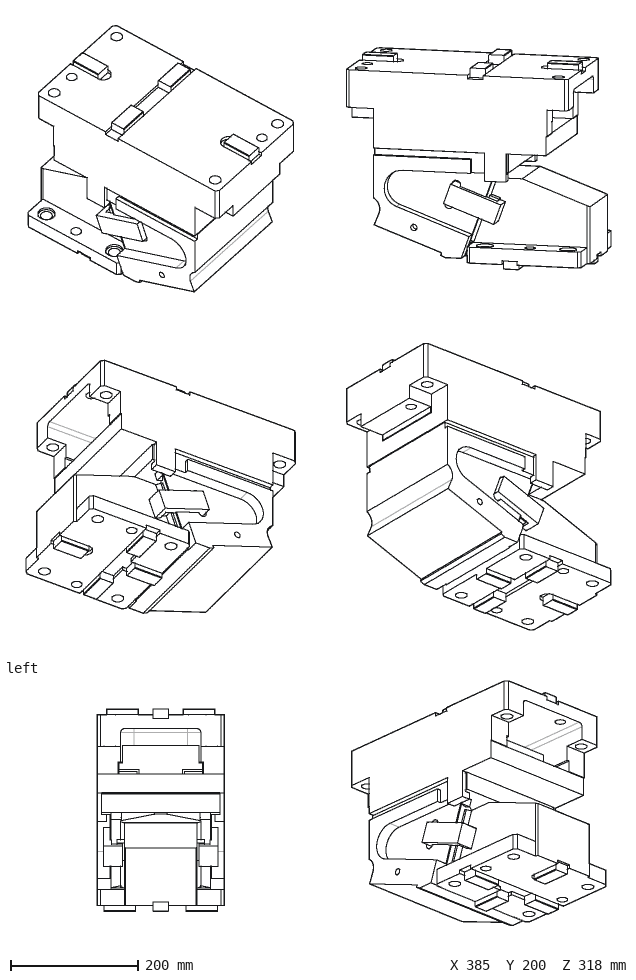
import cadquery as cq
import math

TOTAL_LENGTH = 385.0
TOTAL_HEIGHT = 318.0
HALF_WIDTH = 100.0
CORNER_CHAMFER = 5.0

KEY_WIDTH = 25.0
KEY_LENGTH = 50.0
KEY_PROUD = 9.0
KEY_SEAT_DEPTH = 6.0
KEY_CHAMFER = 1.0

BOLT_HOLE_DIAMETER = 18.5
DOWEL_HOLE_DIAMETER = 16.5
BOLT_HALF_PITCH = 80.0

INCLINE = 20.0
VEE_ANGLE = 30.0
VEE_FLAT_HALF_WIDTH = 10.0
VEE_HALF_WIDTH = 80.0
VEE_START = 190.0
VEE_CLEARANCE = 1.0

BASE_LEFT = 25.0
BASE_TOP = TOTAL_HEIGHT - KEY_PROUD
LEFT_FLANGE_BOTTOM = BASE_TOP - 50.0
RIGHT_FLANGE_BOTTOM = BASE_TOP - 60.0
BASE_BODY_LEFT = 59.0
BASE_BODY_RIGHT = 340.0
BASE_BODY_BOTTOM = 186.0
SILL_TOP = 216.0
SILL_SETBACK = 1.5
STOP_HALF_WIDTH = 60.0
STOP_BOTTOM = 226.0
STOP_FOOT = 1.5

LEG_LEFT = 125.5
LEG_WIDTH = 34.7
LEG_BOTTOM = 141.0
LEG_LIP_TOP = 152.0
LEG_LIP_INNER = 85.5

BASE_KEY_INSET = 5.0
BASE_SEAT_LENGTH = 68.0
BASE_CROSS_KEY_X = 175.0
BASE_CROSS_KEY_INNER = 35.0
BASE_BOLT_INSET = 20.0
BASE_DOWEL_LEFT_Y = -35.0
BASE_DOWEL_RIGHT_Y = 40.0

WINDOW_HALF_WIDTH = 63.0
WINDOW_TOP = 287.0
WINDOW_FOOT_HALF_WIDTH = 67.0
WINDOW_FOOT_TOP = 234.5
WINDOW_END = 180.0
WINDOW_CORNER_RADIUS = 21.0
WINDOW_ROOF_RADIUS = 6.0
CORE_LEFT = 110.0
CORE_HALF_WIDTH = 60.0
CORE_TOP = 260.5
CORE_FOOT_GAP = 1.5
CORE_RECESS_INNER = 34.0
CORE_RECESS_HEIGHT = 6.5
CORE_RECESS_STEP = 3.0

PLATE_LEFT = 122.5
PLATE_HALF_WIDTH = 93.0
PLATE_BOTTOM = 155.0
PLATE_TOP = 184.5
RAIL_LEFT = 183.0
RAIL_TOP = 174.5
SIDE_POCKET_TOP = 152.5
SIDE_POCKET_FLOOR = 80.0
SIDE_POCKET_RADIUS = 30.0
SIDE_POCKET_ARC_X = 292.5
SLIDER_SIDE_SETBACK = 1.5
SLIDER_BOTTOM_Z = 16.0
SLIDER_HEEL_X = 223.6
SLIDER_HEEL_ACROSS = -60.7
SLIDER_STEP_ALONG = 224.0
SLIDER_UNDERSIDE_ACROSS = -56.5
SLIDER_NOSE_ALONG = 340.2
NOTCH_RADIUS = 20.0
NOTCH_CENTRE_X = 350.0
NOTCH_CENTRE_Z = 89.0
NARROW_VEE_HALF_WIDTH = 62.0
WIDE_VEE_TOP = 84.0
SIDE_HOLE_DIAMETER = 10.0
SIDE_HOLE_DEPTH = 15.0
DRILL_POINT_ANGLE = 118.0
SIDE_HOLE_X = 274.6
SIDE_HOLE_Z = 62.0

HOOK_START = 163.0
HOOK_END = 249.6
HOOK_BOTTOM = 16.0
HOOK_TOP = 49.6
HOOK_INNER = 60.0
HOOK_OUTER = 90.0
HOOK_SLOT_START = 172.8
HOOK_SLOT_OUTER = 77.0
HOOK_RELIEF_RADIUS = 7.0
LUG_OUTER = 68.5
LUG_BOTTOM = 22.0
LUG_TOP = 51.5
LUG_END = 188.5

FLANGE_LEFT = 4.5
FLANGE_RIGHT = 189.5
FLANGE_BOTTOM = KEY_PROUD
FLANGE_TOP = 34.5
DRIVER_HALF_WIDTH = 57.0
DRIVER_FRONT_HEIGHT = 99.6
DRIVER_TOP = 139.5
DRIVER_EDGE_SETBACK = 1.5
RIDGE_HALF_WIDTH = 63.0
RIDGE_TOP = 79.0
RIDGE_BOTTOM = -30.0
RIDGE_FLARE_START = 189.0
DRIVER_BOLT_INSET = 25.0
COUNTERBORE_DIAMETER = 27.0
COUNTERBORE_DEPTH = 4.0
DRIVER_DOWEL_X = 90.5
DRIVER_DOWEL_Y = 82.5
DRIVER_CROSS_KEY_X = 119.5
DRIVER_CROSS_KEY_INNER = 39.5
DRIVER_SEAT_LENGTH = 67.0

COS = math.cos(math.radians(INCLINE))
SIN = math.sin(math.radians(INCLINE))


def box(x0, x1, y0, y1, z0, z1):
    """Box between two corners."""
    return cq.Workplane("XY").box(x1 - x0, y1 - y0, z1 - z0, centered=False).translate((x0, y0, z0))


def both_sides(shape):
    """The shape together with its mirror image across the middle plane."""
    return shape.union(shape.mirror("XZ"))


def side_profile(start_y):
    """Workplane for an XZ outline at start_y; it extrudes toward -Y."""
    return cq.Workplane("XZ", origin=(0, start_y, 0))


def incline_xz(along, across):
    """X and Z of a point given in the inclined directions."""
    return along * COS - across * SIN, along * SIN + across * COS


def on_incline(shape):
    """Turn a shape built along X and Z onto the incline."""
    return shape.rotate((0, 0, 0), (0, 1, 0), -INCLINE)


def vee_prism(half_width, start, back, bottom, top):
    """Inclined prism with a vee nose that begins at `start` when it is VEE_HALF_WIDTH wide."""
    slope = math.tan(math.radians(VEE_ANGLE))
    edge = start + (VEE_HALF_WIDTH - half_width) * slope
    tip = start + (VEE_HALF_WIDTH - VEE_FLAT_HALF_WIDTH) * slope
    outline = [
        (back, -half_width),
        (edge, -half_width),
        (tip, -VEE_FLAT_HALF_WIDTH),
        (tip, VEE_FLAT_HALF_WIDTH),
        (edge, half_width),
        (back, half_width),
    ]
    prism = cq.Workplane("XY", origin=(0, 0, bottom)).polyline(outline).close().extrude(top - bottom)
    return on_incline(prism)


def key(x0, x1, y0, y1, mount_z, outward):
    """Locating key standing proud of a mounting face; outward is +1 up or -1 down."""
    seat_z = mount_z - outward * KEY_SEAT_DEPTH
    end_z = mount_z + outward * KEY_PROUD
    block = box(x0, x1, y0, y1, min(seat_z, end_z), max(seat_z, end_z))
    outer_face = block.faces(">Z" if outward > 0 else "<Z")
    long_edges = outer_face.edges("|X" if x1 - x0 > y1 - y0 else "|Y")
    return long_edges.chamfer(KEY_CHAMFER)


def long_key_seat(open_end, round_end, mount_z, outward):
    """Lengthwise key seat, open at one end and round at the other."""
    radius = KEY_WIDTH / 2
    inward = radius if round_end < open_end else -radius
    centre = round_end + inward
    seat_z = mount_z - outward * KEY_SEAT_DEPTH
    low, high = min(seat_z, mount_z), max(seat_z, mount_z)
    straight = box(min(open_end, centre), max(open_end, centre), -radius, radius, low, high)
    rounded = cq.Workplane("XY", origin=(centre, 0, low)).circle(radius).extrude(high - low)
    return straight.union(rounded)


def cross_key_seat(centre_x, mount_z, outward):
    """Crosswise key seat over the full width."""
    seat_z = mount_z - outward * KEY_SEAT_DEPTH
    low, high = min(seat_z, mount_z), max(seat_z, mount_z)
    return box(centre_x - KEY_WIDTH / 2, centre_x + KEY_WIDTH / 2, -HALF_WIDTH, HALF_WIDTH, low, high)


def add_keys(body, mount_z, outward, long_keys, seats, cross_x, cross_inner):
    """Cut the key seats of a mounting face and set the four keys into them."""
    for open_end, round_end in seats:
        body = body.cut(long_key_seat(open_end, round_end, mount_z, outward))
    body = body.cut(cross_key_seat(cross_x, mount_z, outward))
    half = KEY_WIDTH / 2
    for start in long_keys:
        body = body.union(key(start, start + KEY_LENGTH, -half, half, mount_z, outward))
    cross = key(cross_x - half, cross_x + half, cross_inner, cross_inner + KEY_LENGTH, mount_z, outward)
    return body.union(both_sides(cross))


def vertical_hole(x, y, diameter, z0, z1):
    return cq.Workplane("XY", origin=(x, y, z0)).circle(diameter / 2).extrude(z1 - z0)


def base_blank():
    """Mounting plate with two end flanges over the guide block."""
    left_part = box(BASE_LEFT, BASE_CROSS_KEY_X, -HALF_WIDTH, HALF_WIDTH, LEFT_FLANGE_BOTTOM, BASE_TOP)
    right_part = box(BASE_CROSS_KEY_X, TOTAL_LENGTH, -HALF_WIDTH, HALF_WIDTH, RIGHT_FLANGE_BOTTOM, BASE_TOP)
    left_part = left_part.edges("|Z and <X").chamfer(CORNER_CHAMFER)
    right_part = right_part.edges("|Z and >X").chamfer(CORNER_CHAMFER)
    upper = box(BASE_BODY_LEFT, BASE_BODY_RIGHT, -HALF_WIDTH, HALF_WIDTH, SILL_TOP, LEFT_FLANGE_BOTTOM)
    sill_left = BASE_BODY_LEFT + SILL_SETBACK
    sill = box(sill_left, BASE_BODY_RIGHT, -HALF_WIDTH, HALF_WIDTH, BASE_BODY_BOTTOM, SILL_TOP)
    return left_part.union(right_part).union(upper).union(sill)


def base_legs():
    """Hooked legs that hold the slider plate from below."""
    right = LEG_LEFT + LEG_WIDTH
    upright = box(LEG_LEFT, right, PLATE_HALF_WIDTH, HALF_WIDTH, LEG_BOTTOM, BASE_BODY_BOTTOM)
    lip = box(LEG_LEFT, right, LEG_LIP_INNER, HALF_WIDTH, LEG_BOTTOM, LEG_LIP_TOP)
    return both_sides(upright.union(lip))


def base_stop():
    """Stop block under the right flange, with a thin foot against the guide block."""
    stop = box(
        BASE_BODY_RIGHT, TOTAL_LENGTH, -STOP_HALF_WIDTH, STOP_HALF_WIDTH, STOP_BOTTOM, RIGHT_FLANGE_BOTTOM
    )
    foot = box(
        BASE_BODY_RIGHT, BASE_BODY_RIGHT + STOP_FOOT, -STOP_HALF_WIDTH, STOP_HALF_WIDTH, SILL_TOP, STOP_BOTTOM
    )
    return stop.union(foot)


def base_window():
    """Window from the left end into the guide block, widened at its foot and rounded at its roof."""
    window = box(BASE_LEFT, WINDOW_END, -WINDOW_HALF_WIDTH, WINDOW_HALF_WIDTH, SILL_TOP, WINDOW_TOP)
    window = window.edges("|Z and >X").fillet(WINDOW_CORNER_RADIUS)
    window = window.faces(">Z").edges("not <X").fillet(WINDOW_ROOF_RADIUS)
    foot = box(
        BASE_BODY_LEFT, WINDOW_END, -WINDOW_FOOT_HALF_WIDTH, WINDOW_FOOT_HALF_WIDTH, SILL_TOP, WINDOW_FOOT_TOP
    )
    return window.union(foot)


def window_core():
    """Stepped core inside the window, with a stepped recess at each lower corner."""
    foot_half_width = WINDOW_FOOT_HALF_WIDTH - CORE_FOOT_GAP
    core = box(CORE_LEFT, WINDOW_END, -CORE_HALF_WIDTH, CORE_HALF_WIDTH, SILL_TOP, CORE_TOP)
    foot = box(
        CORE_LEFT, WINDOW_END, -foot_half_width, foot_half_width, SILL_TOP, WINDOW_FOOT_TOP - CORE_FOOT_GAP
    )
    shallow_end = CORE_LEFT + CORE_RECESS_STEP
    deep_end = shallow_end + CORE_RECESS_STEP
    recess_top = SILL_TOP + CORE_RECESS_HEIGHT
    shallow = box(CORE_LEFT, shallow_end, CORE_RECESS_INNER, foot_half_width, SILL_TOP, recess_top)
    deep = box(
        shallow_end,
        deep_end,
        CORE_RECESS_INNER + CORE_RECESS_STEP,
        foot_half_width,
        SILL_TOP,
        recess_top - CORE_RECESS_STEP,
    )
    return core.union(foot).cut(both_sides(shallow.union(deep)))


def base_holes():
    """Bolt and dowel holes through the end flanges."""
    left_x = BASE_LEFT + BASE_BOLT_INSET
    right_x = TOTAL_LENGTH - BASE_BOLT_INSET
    holes = cq.Workplane("XY")
    for x, dowel_y in ((left_x, BASE_DOWEL_LEFT_Y), (right_x, BASE_DOWEL_RIGHT_Y)):
        holes = holes.add(vertical_hole(x, dowel_y, DOWEL_HOLE_DIAMETER, STOP_BOTTOM, BASE_TOP))
        for y in (-BOLT_HALF_PITCH, BOLT_HALF_PITCH):
            holes = holes.add(vertical_hole(x, y, BOLT_HOLE_DIAMETER, STOP_BOTTOM, BASE_TOP))
    return holes.combine()


def make_base():
    base = base_blank().union(base_legs()).union(base_stop())
    base = base.cut(base_window()).union(window_core()).cut(base_holes())
    long_keys = (BASE_LEFT + BASE_KEY_INSET, TOTAL_LENGTH - BASE_KEY_INSET - KEY_LENGTH)
    seats = ((BASE_LEFT, BASE_LEFT + BASE_SEAT_LENGTH), (TOTAL_LENGTH, TOTAL_LENGTH - BASE_SEAT_LENGTH))
    return add_keys(base, BASE_TOP, 1, long_keys, seats, BASE_CROSS_KEY_X, BASE_CROSS_KEY_INNER)


def slider_outline(half_width, end_along):
    """Slider body below its guide plate; end_along places the inclined left end."""
    left_top_x = (end_along - PLATE_BOTTOM * SIN) / COS
    left_bottom_x = (end_along - SLIDER_BOTTOM_Z * SIN) / COS
    notch_dx = BASE_BODY_RIGHT - NOTCH_CENTRE_X
    notch_top = (BASE_BODY_RIGHT, NOTCH_CENTRE_Z + math.sqrt(NOTCH_RADIUS**2 - notch_dx**2))
    notch_low = (NOTCH_CENTRE_X - NOTCH_RADIUS * COS, NOTCH_CENTRE_Z - NOTCH_RADIUS * SIN)
    return (
        side_profile(half_width)
        .moveTo(left_top_x, PLATE_BOTTOM)
        .lineTo(left_bottom_x, SLIDER_BOTTOM_Z)
        .lineTo(SLIDER_HEEL_X, SLIDER_BOTTOM_Z)
        .lineTo(*incline_xz(SLIDER_STEP_ALONG, SLIDER_HEEL_ACROSS))
        .lineTo(*incline_xz(SLIDER_STEP_ALONG, SLIDER_UNDERSIDE_ACROSS))
        .lineTo(*incline_xz(SLIDER_NOSE_ALONG, SLIDER_UNDERSIDE_ACROSS))
        .lineTo(*notch_low)
        .threePointArc((NOTCH_CENTRE_X - NOTCH_RADIUS, NOTCH_CENTRE_Z), notch_top)
        .lineTo(BASE_BODY_RIGHT, PLATE_BOTTOM)
        .close()
        .extrude(2 * half_width)
    )


def slider_side_pocket():
    """Pocket in both sides: level top, inclined bottom, round right end, open to the left."""
    centre_z = SIDE_POCKET_TOP - SIDE_POCKET_RADIUS
    low_x = SIDE_POCKET_ARC_X + SIDE_POCKET_RADIUS * SIN
    low_z = centre_z - SIDE_POCKET_RADIUS * COS
    run = low_x - PLATE_LEFT
    pocket = (
        side_profile(HALF_WIDTH)
        .moveTo(PLATE_LEFT, SIDE_POCKET_TOP)
        .lineTo(SIDE_POCKET_ARC_X, SIDE_POCKET_TOP)
        .threePointArc((SIDE_POCKET_ARC_X + SIDE_POCKET_RADIUS, centre_z), (low_x, low_z))
        .lineTo(PLATE_LEFT, low_z - run * SIN / COS)
        .close()
        .extrude(HALF_WIDTH - SIDE_POCKET_FLOOR)
    )
    return both_sides(pocket)


def slider_plate():
    """Guide plate held by the base legs, with a side rail right of them."""
    plate = box(PLATE_LEFT, BASE_BODY_RIGHT, -PLATE_HALF_WIDTH, PLATE_HALF_WIDTH, PLATE_BOTTOM, PLATE_TOP)
    rail = box(RAIL_LEFT, BASE_BODY_RIGHT, -HALF_WIDTH, HALF_WIDTH, SIDE_POCKET_TOP, RAIL_TOP)
    return plate.union(rail)


def leg_clearance():
    """Room for the legs at both sides of the slider."""
    right = LEG_LEFT + LEG_WIDTH
    open_side = box(PLATE_LEFT, RAIL_LEFT, PLATE_HALF_WIDTH, HALF_WIDTH, SIDE_POCKET_TOP, PLATE_TOP)
    lip_room = box(LEG_LEFT, right, LEG_LIP_INNER, HALF_WIDTH, LEG_BOTTOM, LEG_LIP_TOP)
    return both_sides(open_side.union(lip_room))


def slider_vee():
    """Vee recess for the driver ridge, narrowed above the ridge."""
    wide_half_width = VEE_HALF_WIDTH - SLIDER_SIDE_SETBACK
    wide = vee_prism(wide_half_width, VEE_START, HOOK_START, RIDGE_BOTTOM, WIDE_VEE_TOP)
    narrow = vee_prism(NARROW_VEE_HALF_WIDTH, VEE_START, HOOK_START, WIDE_VEE_TOP, PLATE_BOTTOM)
    above = box(0, BASE_BODY_RIGHT, -HALF_WIDTH, HALF_WIDTH, PLATE_BOTTOM, TOTAL_HEIGHT)
    return wide.union(narrow).cut(above)


def slider_hooks():
    """Return hook on each side, slotted behind the vee for the driver lug."""
    bar = on_incline(box(HOOK_START, HOOK_END, HOOK_INNER, HOOK_OUTER, HOOK_BOTTOM, HOOK_TOP))
    slot = on_incline(box(HOOK_SLOT_START, VEE_START, 0, HOOK_SLOT_OUTER, HOOK_BOTTOM, HOOK_TOP))
    vee = vee_prism(HOOK_SLOT_OUTER, VEE_START, HOOK_SLOT_START, HOOK_BOTTOM, HOOK_TOP)
    return both_sides(bar.cut(slot).cut(vee))


def hook_reliefs():
    """Round reliefs in the pocket floor at the two inner corners of each hook."""
    reliefs = cq.Workplane("XY")
    for across in (HOOK_BOTTOM, HOOK_TOP):
        x, z = incline_xz(HOOK_END - HOOK_RELIEF_RADIUS, across)
        relief = side_profile(SIDE_POCKET_FLOOR).center(x, z).circle(HOOK_RELIEF_RADIUS)
        reliefs = reliefs.add(relief.extrude(SIDE_POCKET_FLOOR - HOOK_INNER))
    return both_sides(reliefs.combine())


def slider_side_holes():
    """Blind drilled hole with a conical end in each side."""
    radius = SIDE_HOLE_DIAMETER / 2
    floor_y = HALF_WIDTH - SIDE_HOLE_DEPTH
    tip_y = floor_y - radius / math.tan(math.radians(DRILL_POINT_ANGLE / 2))
    half_section = [(0, HALF_WIDTH), (radius, HALF_WIDTH), (radius, floor_y), (0, tip_y)]
    hole = cq.Workplane("XY").polyline(half_section).close().revolve(360, (0, 0, 0), (0, 1, 0))
    return both_sides(hole.translate((SIDE_HOLE_X, 0, SIDE_HOLE_Z)))


def make_slider():
    core = slider_outline(SIDE_POCKET_FLOOR - SLIDER_SIDE_SETBACK, VEE_START)
    full = slider_outline(HALF_WIDTH, VEE_START + SLIDER_SIDE_SETBACK)
    slider = core.union(full).union(slider_plate())
    slider = slider.cut(slider_side_pocket()).cut(leg_clearance()).cut(slider_vee())
    slider = slider.cut(hook_reliefs()).cut(slider_side_holes())
    return slider.union(slider_hooks())


def driver_flange():
    """Foot flange with counterbored bolt holes and a dowel hole on each side."""
    flange = box(FLANGE_LEFT, FLANGE_RIGHT, -HALF_WIDTH, HALF_WIDTH, FLANGE_BOTTOM, FLANGE_TOP)
    flange = flange.edges("|Z").chamfer(CORNER_CHAMFER)
    for side in (-1, 1):
        y = side * BOLT_HALF_PITCH
        dowel_y = side * DRIVER_DOWEL_Y
        dowel_hole = vertical_hole(DRIVER_DOWEL_X, dowel_y, DOWEL_HOLE_DIAMETER, FLANGE_BOTTOM, FLANGE_TOP)
        flange = flange.cut(dowel_hole)
        for x in (FLANGE_LEFT + DRIVER_BOLT_INSET, FLANGE_RIGHT - DRIVER_BOLT_INSET):
            bore_floor = FLANGE_TOP - COUNTERBORE_DEPTH
            flange = flange.cut(vertical_hole(x, y, BOLT_HOLE_DIAMETER, FLANGE_BOTTOM, FLANGE_TOP))
            flange = flange.cut(vertical_hole(x, y, COUNTERBORE_DIAMETER, bore_floor, FLANGE_TOP))
    return flange


def driver_body():
    """Wedge-shaped body with a sloping top and narrow chamfers on its front edges."""
    slope_run = (DRIVER_TOP - DRIVER_FRONT_HEIGHT) * COS / SIN
    body_end = incline_xz(RIDGE_FLARE_START, RIDGE_TOP)[0]
    body = (
        side_profile(DRIVER_HALF_WIDTH)
        .moveTo(0, FLANGE_BOTTOM)
        .lineTo(0, DRIVER_FRONT_HEIGHT)
        .lineTo(slope_run, DRIVER_TOP)
        .lineTo(body_end, DRIVER_TOP)
        .lineTo((RIDGE_FLARE_START - FLANGE_TOP * SIN) / COS, FLANGE_TOP)
        .lineTo(FLANGE_RIGHT, FLANGE_TOP)
        .lineTo(FLANGE_RIGHT, FLANGE_BOTTOM)
        .close()
        .extrude(2 * DRIVER_HALF_WIDTH)
    )
    inner = DRIVER_HALF_WIDTH - DRIVER_EDGE_SETBACK
    corner = (
        cq.Workplane("XY")
        .polyline([(0, inner), (0, DRIVER_HALF_WIDTH), (FLANGE_LEFT, DRIVER_HALF_WIDTH)])
        .close()
        .extrude(DRIVER_TOP)
    )
    return body.cut(both_sides(corner))


def driver_ridge():
    """Vee ridge that pushes the slider, with flared edges behind its faces."""
    ridge = vee_prism(RIDGE_HALF_WIDTH, VEE_START - VEE_CLEARANCE, HOOK_START, RIDGE_BOTTOM, RIDGE_TOP)
    flare = RIDGE_HALF_WIDTH - DRIVER_HALF_WIDTH
    behind = on_incline(
        cq.Workplane("XY", origin=(0, 0, RIDGE_BOTTOM))
        .polyline(
            [
                (HOOK_START, DRIVER_HALF_WIDTH),
                (RIDGE_FLARE_START, DRIVER_HALF_WIDTH),
                (RIDGE_FLARE_START + flare, RIDGE_HALF_WIDTH),
                (HOOK_START, RIDGE_HALF_WIDTH),
            ]
        )
        .close()
        .extrude(RIDGE_TOP - RIDGE_BOTTOM)
    )
    body_end = incline_xz(RIDGE_FLARE_START, RIDGE_TOP)[0]
    above_body = box(0, body_end, -HALF_WIDTH, HALF_WIDTH, DRIVER_TOP, BASE_TOP)
    return ridge.cut(both_sides(behind)).cut(above_body)


def driver_lugs():
    """Lugs that the slider hooks pull on."""
    lug = box(HOOK_SLOT_START, LUG_END, 0, LUG_OUTER, LUG_BOTTOM, LUG_TOP)
    return on_incline(both_sides(lug))


def make_driver():
    driver = driver_flange().union(driver_body()).union(driver_ridge()).union(driver_lugs())
    long_keys = (FLANGE_LEFT, FLANGE_RIGHT - KEY_LENGTH)
    seats = ((0, DRIVER_SEAT_LENGTH), (FLANGE_RIGHT, FLANGE_RIGHT - DRIVER_SEAT_LENGTH))
    return add_keys(driver, FLANGE_BOTTOM, -1, long_keys, seats, DRIVER_CROSS_KEY_X, DRIVER_CROSS_KEY_INNER)


base = make_base()
slider = make_slider()
driver = make_driver()
result = cq.Compound.makeCompound([*base.vals(), *slider.vals(), *driver.vals()])